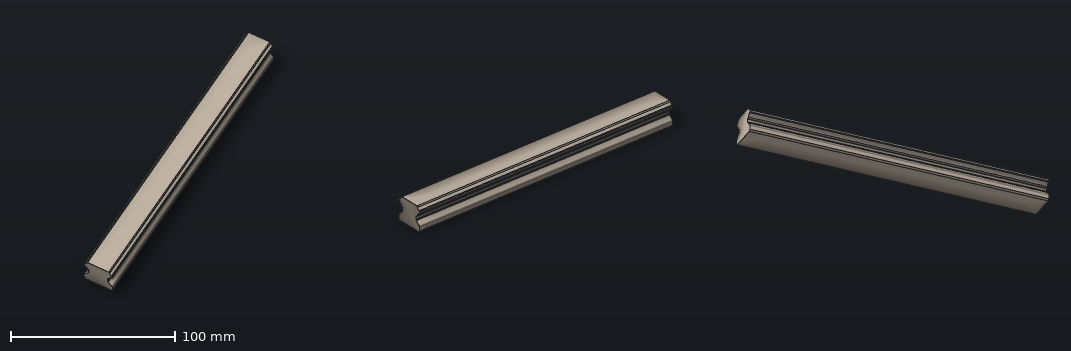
import cadquery as cq

length = 200.0
width = 20.0
height = 17.5
half_width = width / 2

foot_chamfer = 1.0
foot_shoulder_z = 4.2
foot_shoulder_radius = 1.0

waist_half_width = 7.0
slot_depth = 0.5
slot_bottom_z = 7.8
slot_top_z = 10.0
slot_half_width = waist_half_width - slot_depth

lower_slope_top_z = foot_shoulder_z + half_width - waist_half_width
upper_slope_size = 0.8
upper_slope_half_width = waist_half_width + upper_slope_size
upper_slope_top_z = slot_top_z + upper_slope_size

lip_bottom_z = 13.0
lip_top_z = 15.2
lip_chamfer = 0.5
lip_half_width = half_width - lip_chamfer
track_half_width = 8.0
lower_track_bottom_z = 11.5
lower_track_sag = 0.2
upper_track_sag = 0.3
top_chamfer_width = 0.5
top_chamfer_height = 0.8
upper_track_top_z = height - top_chamfer_height
top_half_width = track_half_width - top_chamfer_width


def draw_foot_and_waist(profile):
    """Trace the right side from the bottom face up to the head."""
    return (
        profile.moveTo(half_width - foot_chamfer, 0)
        .lineTo(half_width, foot_chamfer)
        .lineTo(half_width, foot_shoulder_z)
        .lineTo(waist_half_width, lower_slope_top_z)
        .lineTo(waist_half_width, slot_bottom_z)
        .lineTo(slot_half_width, slot_bottom_z)
        .lineTo(slot_half_width, slot_top_z)
        .lineTo(waist_half_width, slot_top_z)
        .lineTo(upper_slope_half_width, upper_slope_top_z)
    )


def draw_head(profile):
    """Continue the right side past both ball tracks to the top face."""
    return (
        profile.lineTo(track_half_width, lower_track_bottom_z)
        .sagittaArc((lip_half_width, lip_bottom_z), lower_track_sag)
        .lineTo(half_width, lip_bottom_z + lip_chamfer)
        .lineTo(half_width, lip_top_z - lip_chamfer)
        .lineTo(lip_half_width, lip_top_z)
        .sagittaArc((track_half_width, upper_track_top_z), upper_track_sag)
        .lineTo(top_half_width, height)
    )


right_side = draw_head(draw_foot_and_waist(cq.Workplane("XZ")))
right_half = (
    right_side.lineTo(0, height)
    .lineTo(0, 0)
    .close()
    .extrude(length / 2, both=True)
)

shoulder_point = (half_width, 0, foot_shoulder_z)
right_half = right_half.edges(cq.NearestToPointSelector(shoulder_point)).fillet(foot_shoulder_radius)

result = right_half.union(right_half.mirror("YZ")).clean()